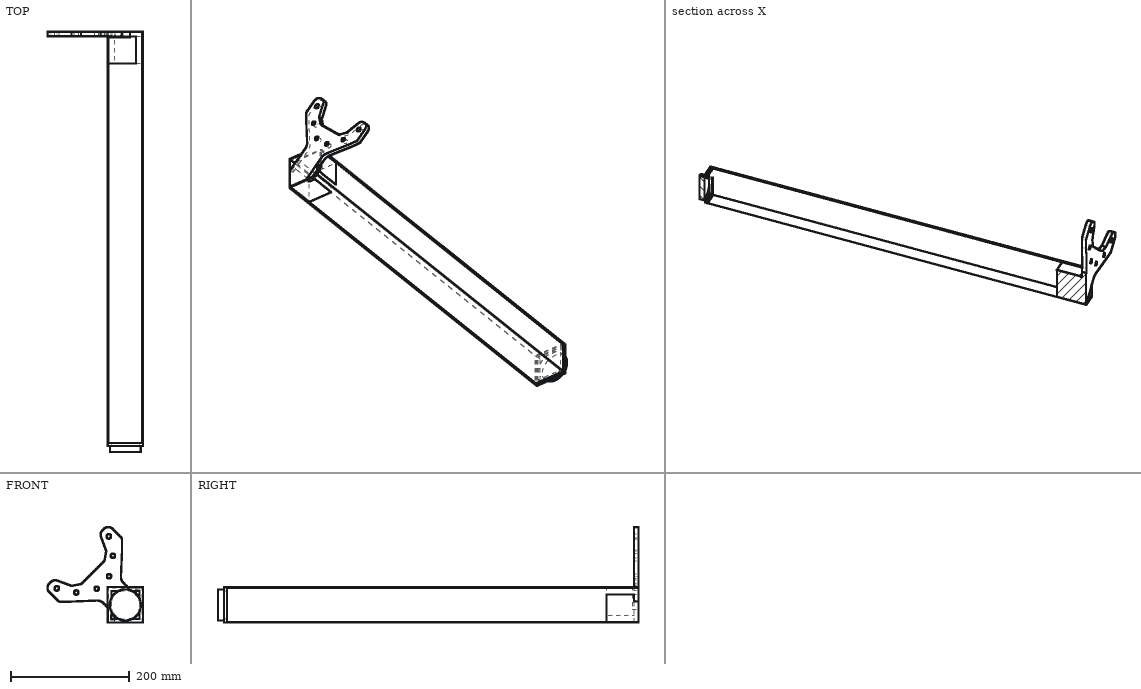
import cadquery as cq
import math

overall_length = 710.0
tube_size = 60.0
wall = 1.5
half_tube = tube_size / 2
bore_size = tube_size - 2 * wall
half_bore = bore_size / 2

frame_thickness = 5.0
frame_opening = 47.5
pad_diameter = 52.5
pad_thickness = 10.0
tube_length = overall_length - frame_thickness - pad_thickness

slot_depth = 10.0
slot_reach = 38.0

plate_thickness = 8.0
arm_overhang = 101.7
arm_reach = half_tube + arm_overhang
band_offset = 34.2
tip_radius = 10.0
tip_flat = 4.5
tip_height = 28.8
tip_lean = 20.0
elbow_bottom = (-92.5, 5.4)
elbow_top = (-91.0, 32.5)
band_start = (-74.5, 35.5)
root_height = 7.5
root_radius = 14.0
heel_radius = 5.0

end_hole_diameter = 7.5
end_hole = (-115.8, 28.0)
inner_hole_diameter = 7.0
inner_holes = [(-83.0, 21.0), (-48.5, 27.5)]

block_end = 54.0
notch_edge = 18.0


def mirrored(point):
    """Reflect an (X, Z) point across the diagonal Z = -X."""
    x, z = point
    return (-z, -x)


def on_circle(center, radius, degrees):
    angle = math.radians(degrees)
    return (center[0] + radius * math.cos(angle), center[1] + radius * math.sin(angle))


def section_at(depth):
    """Sketch plane with X right and Z up at Y = -depth; extruding goes toward -Y."""
    return cq.Workplane("XZ", origin=(0, -depth, 0))


def make_tube():
    tube = section_at(0).rect(tube_size, tube_size).rect(bore_size, bore_size).extrude(tube_length)
    slot_center = slot_reach / 2 - half_tube
    slot = section_at(0).center(slot_center, -slot_center).rect(slot_reach, slot_reach).extrude(slot_depth)
    return tube.cut(slot)


def make_foot():
    frame = (
        section_at(tube_length)
        .rect(tube_size, tube_size)
        .rect(frame_opening, frame_opening)
        .extrude(frame_thickness)
    )
    pad = section_at(tube_length + frame_thickness).circle(pad_diameter / 2).extrude(pad_thickness)
    return frame.union(pad)


def make_plate():
    outer_center = (tip_radius - arm_reach, tip_height)
    flat_step = tip_flat / math.sqrt(2)
    inner_center = (outer_center[0] + flat_step, outer_center[1] + flat_step)

    lean_direction = 90 - tip_lean
    outer_start = on_circle(outer_center, tip_radius, 225)
    outer_middle = on_circle(outer_center, tip_radius, 180)
    outer_end = on_circle(outer_center, tip_radius, 135)
    inner_start = on_circle(inner_center, tip_radius, 135)
    inner_middle = on_circle(inner_center, tip_radius, (135 + lean_direction) / 2)
    inner_end = on_circle(inner_center, tip_radius, lean_direction)

    heel = (sum(outer_start) - elbow_bottom[1], elbow_bottom[1])
    root = (-band_offset - root_height, root_height)
    band_end = (half_bore - band_offset, -half_bore)

    plate = (
        section_at(0)
        .moveTo(*band_end)
        .lineTo(*root)
        .lineTo(*elbow_bottom)
        .lineTo(*heel)
        .lineTo(*outer_start)
        .threePointArc(outer_middle, outer_end)
        .lineTo(*inner_start)
        .threePointArc(inner_middle, inner_end)
        .lineTo(*elbow_top)
        .lineTo(*band_start)
        .lineTo(*mirrored(band_start))
        .lineTo(*mirrored(elbow_top))
        .lineTo(*mirrored(inner_end))
        .threePointArc(mirrored(inner_middle), mirrored(inner_start))
        .lineTo(*mirrored(outer_end))
        .threePointArc(mirrored(outer_middle), mirrored(outer_start))
        .lineTo(*mirrored(heel))
        .lineTo(*mirrored(elbow_bottom))
        .lineTo(*mirrored(root))
        .lineTo(*mirrored(band_end))
        .lineTo(half_bore, -half_bore)
        .close()
        .extrude(plate_thickness)
    )
    for corner, radius in [(root, root_radius), (heel, heel_radius)]:
        for x, z in [corner, mirrored(corner)]:
            nearest = cq.selectors.NearestToPointSelector((x, -plate_thickness / 2, z))
            plate = plate.edges("|Y").edges(nearest).fillet(radius)
    return plate


def make_holes(places, diameter):
    both_arms = places + [mirrored(place) for place in places]
    return section_at(0).pushPoints(both_arms).circle(diameter / 2).extrude(plate_thickness)


def make_block():
    block = section_at(plate_thickness).rect(bore_size, bore_size).extrude(block_end - plate_thickness)
    notch_size = half_bore - notch_edge
    notch_center = half_bore - notch_size / 2
    notches = (
        section_at(plate_thickness)
        .pushPoints([(notch_center, notch_center), (-notch_center, -notch_center)])
        .rect(notch_size, notch_size)
        .extrude(block_end - plate_thickness)
    )
    return block.cut(notches)


def make_bracket():
    plate = make_plate()
    plate = plate.cut(make_holes([end_hole], end_hole_diameter))
    plate = plate.cut(make_holes(inner_holes, inner_hole_diameter))
    return plate.union(make_block())


tube = make_tube()
foot = make_foot()
bracket = make_bracket()
result = cq.Compound.makeCompound([tube.val(), foot.val(), bracket.val()])